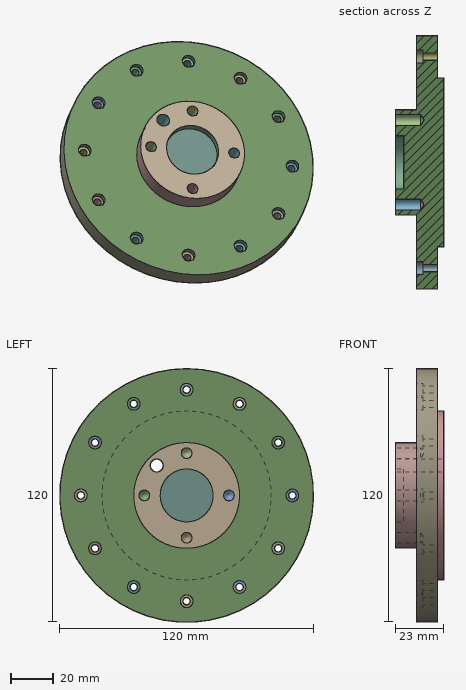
import cadquery as cq
import math

disc_diameter = 120.0
disc_thickness = disc_diameter / 12
hub_diameter = disc_diameter * 5 / 12
hub_length = disc_thickness
spigot_diameter = disc_diameter * 2 / 3
spigot_length = 3.0

recess_diameter = hub_diameter / 2
recess_depth = 4.0

bolt_count = 12
bolt_circle_radius = disc_diameter * 5 / 12
bolt_hole_diameter = 3.4
counterbore_diameter = 6.0
counterbore_depth = 3.0

hub_circle_radius = hub_diameter * 0.4
drill_count = 4
drill_diameter = 5.0
drill_depth = 12.0
drill_point_angle = 118.0
through_hole_diameter = 6.0
through_hole_angle = 45.0

hub_face = 0.0
disc_front = hub_face + hub_length
disc_back = disc_front + disc_thickness
spigot_face = disc_back + spigot_length


def cylinder(diameter, start, end, y=0.0, z=0.0):
    """Cylinder along +X between two X positions."""
    return cq.Workplane(
        cq.Solid.makeCylinder(diameter / 2, end - start, cq.Vector(start, y, z), cq.Vector(1, 0, 0))
    )


def on_circle(radius, angle):
    """Y and Z of a point on a circle about the X axis, angle in degrees from +Y."""
    return radius * math.cos(math.radians(angle)), radius * math.sin(math.radians(angle))


def bolt_hole(y, z):
    """Through hole with a counterbore in the front of the disc."""
    hole = cylinder(bolt_hole_diameter, disc_front, disc_back, y, z)
    return hole.union(cylinder(counterbore_diameter, disc_front, disc_front + counterbore_depth, y, z))


def drilled_hole(y, z):
    """Blind hole from the hub face ending in a drill point."""
    radius = drill_diameter / 2
    point_length = radius / math.tan(math.radians(drill_point_angle / 2))
    shoulder = hub_face + drill_depth
    point = cq.Solid.makeCone(radius, 0, point_length, cq.Vector(shoulder, y, z), cq.Vector(1, 0, 0))
    return cylinder(drill_diameter, hub_face, shoulder, y, z).union(cq.Workplane(point))


result = cylinder(hub_diameter, hub_face, disc_front)
result = result.union(cylinder(disc_diameter, disc_front, disc_back))
result = result.union(cylinder(spigot_diameter, disc_back, spigot_face))

result = result.cut(cylinder(recess_diameter, hub_face, hub_face + recess_depth))

for i in range(bolt_count):
    result = result.cut(bolt_hole(*on_circle(bolt_circle_radius, i * 360 / bolt_count)))

for i in range(drill_count):
    result = result.cut(drilled_hole(*on_circle(hub_circle_radius, i * 360 / drill_count)))

through_y, through_z = on_circle(hub_circle_radius, through_hole_angle)
result = result.cut(cylinder(through_hole_diameter, hub_face, spigot_face, through_y, through_z))